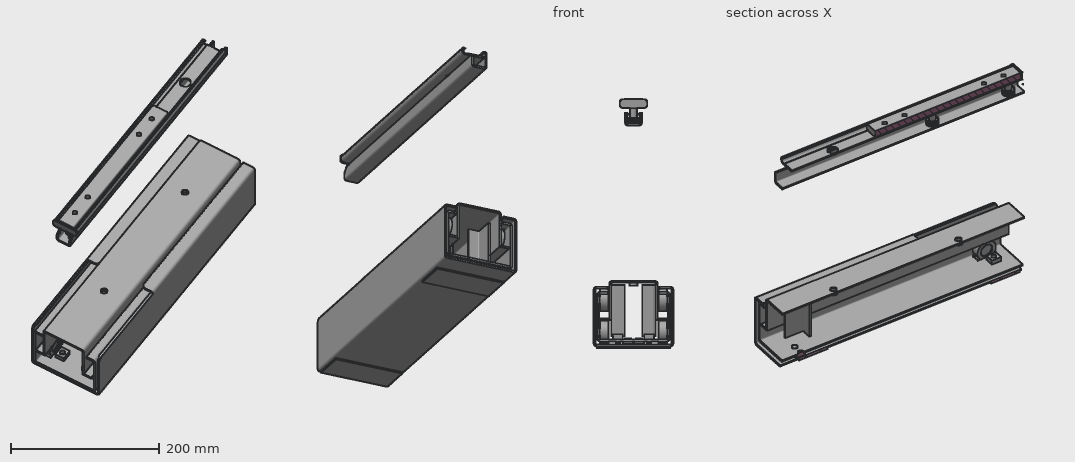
import cadquery as cq
import math


length = 395.5
overall_width = 108.0
overall_height = 337.0
sheet = 2.8
bend_radius = 4.5

pad_height = 2.5
pad_width = 99.5
pad_length = 46.0
pad_starts = (7.5, 318.3)
outer_front = 5.0
outer_top = 83.0
outer_lip_half_gap = 34.8
outer_lip_front = 140.7
front_corner_radius = 6.5
outer_floor = pad_height + sheet
outer_lip_under = outer_top - sheet

middle_front = 2.8
middle_back = 392.0
middle_width = 99.0
middle_sheet = 3.0
middle_bend = 5.0
middle_bottom = 9.0
middle_top = 76.5
middle_floor = middle_bottom + middle_sheet
middle_inner_half = middle_width / 2 - middle_sheet

wheel_diameter = 30.0
wheel_width = 12.0
wheel_inner_x = 33.5
wheel_recess_diameter = 18.5
wheel_recess_depth = 2.0
axle_diameter = 9.5
wheel_slot_play = 1.0
wheel_end_distance = 33.5
running_gap = 2.0
upper_wheel_gap = 0.5
lower_wheel_z = outer_floor + running_gap + wheel_diameter / 2
upper_wheel_z = outer_lip_under - wheel_diameter / 2 - upper_wheel_gap

block_inner_x = 14.2
block_width = 13.5
block_depth = 15.0
block_y = 30.5
block_height = 6.7
block_hole_diameter = 7.0
block_screw_diameter = 6.0
block_screw_drop = 1.5
stop_inner_x = 0.8
stop_drop = 3.5
rivet_diameter = 8.5
rivet_height = 1.0

hat_back = 391.5
hat_width = 65.5
hat_top = 91.0
flange_bottom = 38.0
flange_half_width = 44.3
boss_diameter = 11.0
boss_height = 4.0
boss_hole_diameter = 9.0
boss_places = (101.5, 304.0)
bracket_front = 332.0
bracket_depth = 31.5
bracket_sheet = 3.0
bracket_bend = 4.7
bracket_inner_x = 11.5
bracket_bottom = 16.2
bracket_top = 85.5
hat_inner_half = hat_width / 2 - sheet

rail_back = hat_back
rail_width = 23.0
rail_bottom = 300.0
rail_top = 318.0
flap_size = 7.5
flap_angle = 50.0
flap_sheet = 1.0
rail_floor = rail_bottom + sheet

slide_front = 5.5
slide_back = 376.5
slide_width = 37.5
slide_bottom = 323.8
slide_top = 335.3
slide_wall = 2.0
slide_opening = 31.5
track_width = 21.5
track_height = 0.8
slide_hole_diameter = 15.0
slide_hole_y = 305.2
post_diameter = 9.5
post_places = (21.0, 144.0)
roller_diameter = 17.5
roller_bottom = 304.5
roller_top = 311.0
groove_count = 3
groove_depth = 1.0
groove_height = 1.0
track_top = slide_bottom + slide_wall + track_height

strip_width = 23.7
strip_back = 242.0
strip_edge = 1.0
strip_hole_diameter = 6.5
strip_holes = (28.5, 60.5, 189.0, 221.0)
cap_front = 2.8
cap_top = 336.0
cap_corner = 4.7


def box(x0, x1, y0, y1, z0, z1):
    """Box between two X, two Y and two Z values."""
    return cq.Workplane("XY").box(x1 - x0, y1 - y0, z1 - z0, centered=False).translate((x0, y0, z0))


def bar(width, y0, y1, z0, z1, radius):
    """Bar along Y, centred on X, with its long edges rounded."""
    return box(-width / 2, width / 2, y0, y1, z0, z1).edges("|Y").fillet(radius)


def tube(width, y0, y1, z0, z1, wall, radius):
    """Rectangular tube along Y with rounded bends."""
    outside = bar(width, y0, y1, z0, z1, radius)
    return outside.cut(bar(width - 2 * wall, y0, y1, z0 + wall, z1 - wall, radius - wall))


def disc(diameter, x, y, z0, z1):
    """Upright cylinder."""
    return cq.Workplane("XY", origin=(x, y, z0)).circle(diameter / 2).extrude(z1 - z0)


def cross_disc(diameter, y, z, x0, x1):
    """Cylinder along X."""
    return cq.Workplane("YZ", origin=(x0, y, z)).circle(diameter / 2).extrude(x1 - x0)


def both_sides(shape):
    """The shape together with its mirror image across X = 0."""
    return shape.union(shape.mirror("YZ"))


def make_outer_housing():
    half = overall_width / 2
    housing = tube(overall_width, outer_front, length, pad_height, outer_top, sheet, bend_radius)
    gap = outer_lip_half_gap
    housing = housing.cut(box(-gap, gap, outer_front, length, outer_lip_under, outer_top))

    housing = housing.cut(box(-half, half, outer_front, outer_lip_front, outer_lip_under, outer_top))
    lip_corners = cq.selectors.BoxSelector(
        (-gap - sheet / 2, outer_lip_front - sheet / 2, outer_lip_under - sheet / 2),
        (gap + sheet / 2, outer_lip_front + sheet / 2, outer_top + sheet / 2),
    )
    housing = housing.edges("|Z").edges(lip_corners).fillet(front_corner_radius)
    wall_corners = cq.selectors.BoxSelector(
        (-half, outer_front - sheet / 2, outer_lip_under - sheet / 2),
        (half, outer_front + sheet / 2, outer_lip_under + sheet / 2),
    )
    housing = housing.edges("|X").edges(wall_corners).fillet(front_corner_radius)

    for start in pad_starts:
        pad = box(-pad_width / 2, pad_width / 2, start, start + pad_length, 0, pad_height)
        housing = housing.union(pad)
    return housing


def make_wheel(y, z):
    """Right-hand wheel with a recessed inner face and an axle into the channel wall."""
    outer_x = wheel_inner_x + wheel_width
    recess_end = wheel_inner_x + wheel_recess_depth
    wheel = cross_disc(wheel_diameter, y, z, wheel_inner_x, outer_x)
    wheel = wheel.cut(cross_disc(wheel_recess_diameter, y, z, wheel_inner_x, recess_end))
    return wheel.union(cross_disc(axle_diameter, y, z, outer_x, middle_inner_half + middle_sheet / 2))


def wheel_slot(y, sheet_z):
    """Slot as long as the wheel diameter, through the right-hand sheet that starts at sheet_z."""
    half_slot = wheel_diameter / 2
    x0 = wheel_inner_x - wheel_slot_play
    x1 = wheel_inner_x + wheel_width
    return box(x0, x1, y - half_slot, y + half_slot, sheet_z, sheet_z + middle_sheet)


def make_block(y):
    """Right-hand drilled block on the floor, with its screw end under the floor."""
    x = block_inner_x + block_width / 2
    top = middle_floor + block_height
    block = box(block_inner_x, block_inner_x + block_width, y - block_depth / 2, y + block_depth / 2,
                middle_floor, top)
    block = block.cut(disc(block_hole_diameter, x, y, middle_floor, top))
    return block.union(disc(block_screw_diameter, x, y, middle_bottom - block_screw_drop, middle_floor))


def make_stop(y):
    """Right-hand stop under the floor, with its rivet head on the floor."""
    x = stop_inner_x + block_width / 2
    stop = box(stop_inner_x, stop_inner_x + block_width, y - block_depth / 2, y + block_depth / 2,
               middle_bottom - stop_drop, middle_bottom)
    return stop.union(disc(rivet_diameter, x, y, middle_bottom, middle_floor + rivet_height))


def make_middle_channel():
    front_y = wheel_end_distance
    back_y = length - wheel_end_distance
    lip_under = middle_top - middle_sheet
    channel = tube(middle_width, middle_front, middle_back, middle_bottom, middle_top,
                   middle_sheet, middle_bend)
    gap = outer_lip_half_gap
    channel = channel.cut(box(-gap, gap, middle_front, middle_back, lip_under, middle_top))
    channel = channel.cut(both_sides(wheel_slot(front_y, middle_bottom)))
    channel = channel.cut(both_sides(wheel_slot(back_y, lip_under)))

    fittings = [
        make_wheel(front_y, lower_wheel_z),
        make_wheel(back_y, upper_wheel_z),
        make_block(block_y),
        make_stop(back_y),
    ]
    for fitting in fittings:
        channel = channel.union(both_sides(fitting))
    return channel


def make_bracket():
    """Right-hand angle bracket against the inside of the hat wall."""
    back = bracket_front + bracket_depth
    bracket = box(bracket_inner_x, hat_inner_half, bracket_front, back, bracket_bottom, bracket_top)
    bracket = bracket.edges("|Z and >X and <Y").fillet(bracket_bend)
    hollow = box(bracket_inner_x, hat_inner_half - bracket_sheet, bracket_front + bracket_sheet, back,
                 bracket_bottom, bracket_top)
    hollow = hollow.edges("|Z and >X and <Y").fillet(bracket_bend - bracket_sheet)
    return bracket.cut(hollow)


def make_hat():
    half = hat_width / 2
    roof_under = hat_top - sheet
    hat = box(-half, half, 0, hat_back, flange_bottom, hat_top)
    hat = hat.edges("|Y and >Z").fillet(bend_radius)
    hollow = box(-hat_inner_half, hat_inner_half, 0, hat_back, flange_bottom, roof_under)
    hat = hat.cut(hollow.edges("|Y and >Z").fillet(bend_radius - sheet))
    flange = box(hat_inner_half, flange_half_width, 0, hat_back, flange_bottom, flange_bottom + sheet)
    hat = hat.union(both_sides(flange)).union(both_sides(make_bracket()))
    for y in boss_places:
        hat = hat.union(disc(boss_diameter, 0, y, roof_under - boss_height, roof_under))
        hat = hat.cut(disc(boss_hole_diameter, 0, y, roof_under - boss_height, hat_top))
    return hat


def make_flap():
    """Triangular flap folded in from the upper front corner of the right-hand wall."""
    half = rail_width / 2
    fold_start = cq.Vector(half, 0, rail_top - flap_size)
    fold_end = cq.Vector(half, flap_size, rail_top)
    fold_middle = (fold_start + fold_end) / 2
    fold_angle = math.radians(flap_angle)
    to_corner = cq.Vector(half, 0, rail_top) - fold_middle
    inward = cq.Vector(-1, 0, 0)
    tip = fold_middle + to_corner * math.cos(fold_angle) + inward * (to_corner.Length * math.sin(fold_angle))
    upward = (fold_start - tip).cross(fold_end - tip).normalized()
    if upward.z < 0:
        upward = -upward
    triangle = cq.Wire.makePolygon([fold_start, fold_end, tip], close=True)
    return cq.Workplane(cq.Solid.extrudeLinear(triangle, [], -upward * flap_sheet))


def make_base_rail():
    half = rail_width / 2
    inner_half = half - sheet
    rail = box(-half, half, 0, rail_back, rail_bottom, rail_top)
    rail = rail.edges("|Y and <Z").fillet(bend_radius)
    hollow = box(-inner_half, inner_half, 0, rail_back, rail_floor, rail_top)
    rail = rail.cut(hollow.edges("|Y and <Z").fillet(bend_radius - sheet))
    rail = rail.edges("|X and >Z and <Y").chamfer(flap_size)
    return rail.union(both_sides(make_flap()))


def make_post(y):
    """Post under the slide with a grooved roller at its lower end."""
    post = disc(post_diameter, 0, y, roller_top, slide_bottom)
    roller = disc(roller_diameter, 0, y, roller_bottom, roller_top)
    pitch = (roller_top - roller_bottom) / groove_count
    core_diameter = roller_diameter - 2 * groove_depth
    for i in range(groove_count):
        z = roller_bottom + (i + 0.5) * pitch - groove_height / 2
        ring = disc(roller_diameter, 0, y, z, z + groove_height)
        roller = roller.cut(ring.cut(disc(core_diameter, 0, y, z, z + groove_height)))
    return post.union(roller)


def round_sided_bar(width, height, y0, y1, z0):
    """Bar along Y whose two sides are half circles."""
    section = cq.Workplane("XZ", origin=(0, y0, z0 + height / 2)).slot2D(width, height)
    return section.extrude(y0 - y1)


def make_slide():
    height = slide_top - slide_bottom
    hollow_height = height - 2 * slide_wall
    outside = round_sided_bar(slide_width, height, slide_front, slide_back, slide_bottom)
    hollow = round_sided_bar(slide_width - 2 * slide_wall, hollow_height, slide_front, slide_back,
                             slide_bottom + slide_wall)
    slide = outside.cut(hollow)
    opening = slide_opening / 2
    slide = slide.cut(box(-opening, opening, slide_front, slide_back, slide_top - slide_wall, slide_top))
    track = track_width / 2
    slide = slide.union(box(-track, track, slide_front, slide_back, slide_bottom + slide_wall, track_top))
    slide = slide.cut(disc(slide_hole_diameter, 0, slide_hole_y, slide_bottom, slide_top))
    for y in post_places:
        slide = slide.union(make_post(y))
    return slide


def make_strip():
    half = strip_width / 2
    strip = box(-half, half, slide_front, strip_back, track_top, overall_height)
    strip = strip.edges("|Y and >Z").fillet(strip_edge)
    for y in strip_holes:
        strip = strip.cut(disc(strip_hole_diameter, 0, y, track_top, overall_height))
    return strip


def make_end_cap():
    return bar(slide_width, cap_front, slide_front, slide_bottom, cap_top, cap_corner)


outer_housing = make_outer_housing()
middle_channel = make_middle_channel()
hat = make_hat()
base_rail = make_base_rail()
slide = make_slide()
strip = make_strip()
end_cap = make_end_cap()

bodies = [outer_housing, middle_channel, hat, base_rail, slide, strip, end_cap]
result = cq.Compound.makeCompound([body.val() for body in bodies])